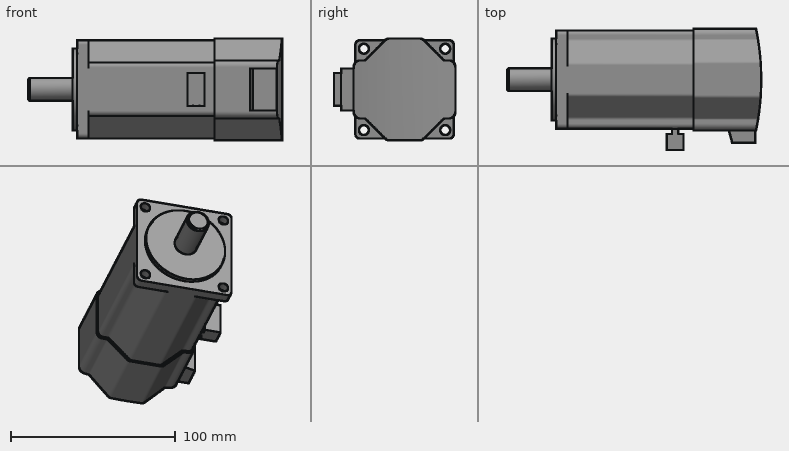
import cadquery as cq

total_length = 154.5
extra = 1.5
position_tolerance = 0.02

shaft_length = 27.0
shaft_diameter = 14.0
shaft_chamfer = 1.1
pilot_length = 2.8
pilot_diameter = 50.0
flange_side = 60.0
flange_thickness = 7.0
flange_corner_radius = 3.0
hole_spacing = 49.5
hole_diameter = 5.9

body_crown_half = 9.81
body_lip_half = 16.2
body_crown_radius = 2.6
body_root_radius = 2.6
body_lip_radius = 3.0

cover_side = 62.0
cover_length = 41.4
cover_crown_half = 10.7
cover_lip_half = 17.6
cover_crown_radius = 2.6
cover_root_radius = 1.4
cover_lip_radius = 4.0
cover_end_radius = 149.9

plug_center_x = 102.05
plug_neck_width = 3.9
plug_head_width = 10.4
plug_height = 20.1
plug_head_y = -32.9
plug_end_y = cover_side / 2 - 73.9

socket_base_x = 134.7
socket_tip_x = 136.7
socket_rear_x = 150.8
socket_height = 25.6
socket_end_y = -38.5

flange_x = shaft_length + pilot_length
body_x = flange_x + flange_thickness
cover_x = total_length - cover_length


def section_bar(start_x, length, side, crown_half, lip_half, crown_radius, root_radius, lip_radius):
    """Bar along X whose square section has each corner relieved by a 45 degree face and a step."""
    half = side / 2
    root_y = crown_half + half - lip_half
    quarter = [(crown_half, half), (root_y, lip_half), (half, lip_half)]
    outline = quarter + [(y, -z) for y, z in reversed(quarter)]
    outline += [(-y, -z) for y, z in quarter]
    outline += [(-y, z) for y, z in reversed(quarter)]
    bar = cq.Workplane("YZ", origin=(start_x, 0, 0)).polyline(outline).close().extrude(length)

    for (corner_y, corner_z), radius in zip(quarter, (crown_radius, root_radius, lip_radius)):
        corners = [
            edge
            for edge in bar.edges("|X").vals()
            if abs(abs(edge.Center().y) - corner_y) < position_tolerance
            and abs(abs(edge.Center().z) - corner_z) < position_tolerance
        ]
        bar = bar.newObject(corners).fillet(radius)
    return bar


def side_connector(outline, height):
    """Prism of an XY outline, centred on the shaft axis in height."""
    return cq.Workplane("XY").polyline(outline).close().extrude(height / 2, both=True)


def make_shaft():
    shaft = cq.Workplane("YZ").circle(shaft_diameter / 2).extrude(shaft_length + extra)
    return shaft.faces("<X").chamfer(shaft_chamfer)


def make_flange():
    flange = (
        cq.Workplane("YZ", origin=(flange_x, 0, 0))
        .rect(flange_side, flange_side)
        .extrude(flange_thickness)
        .edges("|X")
        .fillet(flange_corner_radius)
    )
    holes = (
        cq.Workplane("YZ", origin=(flange_x, 0, 0))
        .rect(hole_spacing, hole_spacing, forConstruction=True)
        .vertices()
        .circle(hole_diameter / 2)
        .extrude(flange_thickness)
    )
    pilot = (
        cq.Workplane("YZ", origin=(shaft_length, 0, 0))
        .circle(pilot_diameter / 2)
        .extrude(pilot_length)
    )
    return flange.cut(holes).union(pilot)


def make_plug():
    root_y = -flange_side / 2 + extra
    neck = plug_neck_width / 2
    head = plug_head_width / 2
    half_outline = [(neck, root_y), (neck, plug_head_y), (head, plug_head_y), (head, plug_end_y)]
    outline = [(plug_center_x + x, y) for x, y in half_outline]
    outline += [(plug_center_x - x, y) for x, y in reversed(half_outline)]
    return side_connector(outline, plug_height)


def make_motor():
    body = section_bar(
        body_x,
        cover_x - body_x,
        flange_side,
        body_crown_half,
        body_lip_half,
        body_crown_radius,
        body_root_radius,
        body_lip_radius,
    )
    return make_flange().union(body).union(make_shaft()).union(make_plug())


def make_cover():
    shell = section_bar(
        cover_x,
        cover_length + extra,
        cover_side,
        cover_crown_half,
        cover_lip_half,
        cover_crown_radius,
        cover_root_radius,
        cover_lip_radius,
    )
    end_cylinder = (
        cq.Workplane("XY")
        .center(total_length - cover_end_radius, 0)
        .circle(cover_end_radius)
        .extrude(cover_side, both=True)
    )
    wall_y = -cover_side / 2
    inner_y = wall_y + extra
    socket = side_connector(
        [
            (socket_base_x, inner_y),
            (socket_base_x, wall_y),
            (socket_tip_x, socket_end_y),
            (socket_rear_x, socket_end_y),
            (socket_rear_x, inner_y),
        ],
        socket_height,
    )
    return shell.intersect(end_cylinder).union(socket)


motor = make_motor()
cover = make_cover()

result = cq.Compound.makeCompound([*motor.solids().vals(), *cover.solids().vals()])